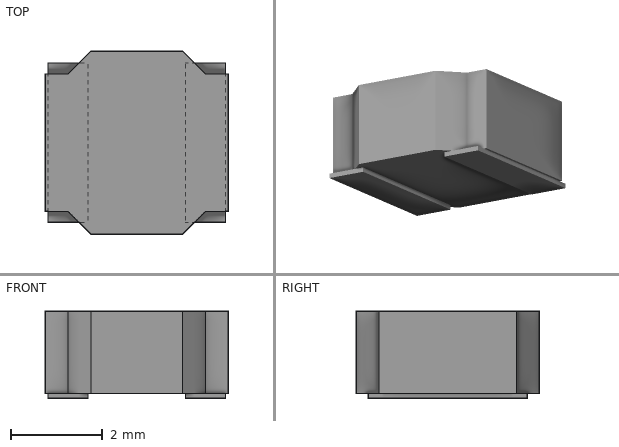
import cadquery as cq

body_size = 4.0
body_bottom = 0.1
body_top = 1.9
corner_step = 0.5
bevel_end = 1.0

terminal_width = 0.88
terminal_length = 3.48
terminal_gap = 2.12
terminal_thickness = body_bottom


def make_body():
    half = body_size / 2
    step = half - corner_step
    bevel = half - bevel_end
    outline = [
        (-half, -step), (-step, -step), (-bevel, -half),
        (bevel, -half), (step, -step), (half, -step),
        (half, step), (step, step), (bevel, half),
        (-bevel, half), (-step, step), (-half, step),
    ]
    return (
        cq.Workplane("XY", origin=(0, 0, body_bottom))
        .polyline(outline)
        .close()
        .extrude(body_top - body_bottom)
    )


def make_terminal(side):
    """Terminal strip on the -X (side = -1) or +X (side = 1) half."""
    center_x = side * (terminal_gap + terminal_width) / 2
    return (
        cq.Workplane("XY")
        .center(center_x, 0)
        .rect(terminal_width, terminal_length)
        .extrude(terminal_thickness)
    )


body = make_body()
terminals = [make_terminal(side) for side in (-1, 1)]

result = cq.Compound.makeCompound([body.val(), *[terminal.val() for terminal in terminals]])